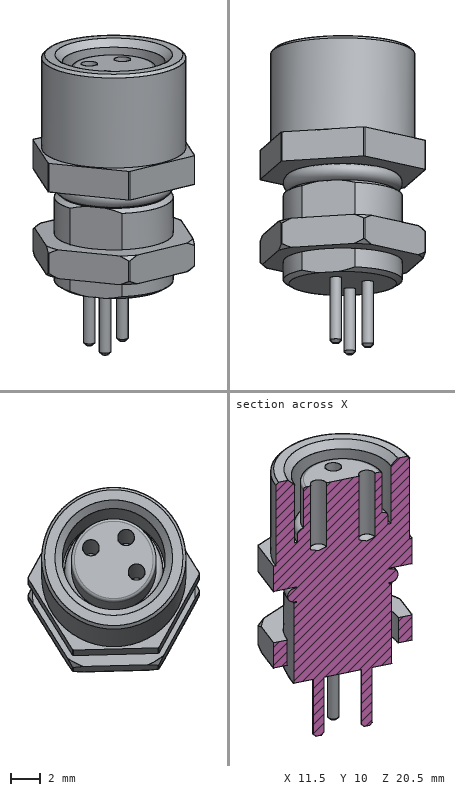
import cadquery as cq
import math

total_height = 20.5
body_bottom = 4.49
nut_bottom = 6.0
hex_thickness = 2.0
body_top = 10.8
flange_bottom = 12.0
nut_top = nut_bottom + hex_thickness
flange_top = flange_bottom + hex_thickness

hex_across_flats = 10.0
hex_corner_diameter = 11.5
nut_chamfer = 0.29

barrel_diameter = 9.7
barrel_chamfer = 0.2
bore_diameter = 6.9
bore_depth = 5.0
bore_countersink = 0.5

carrier_diameter = 5.7
carrier_recess = 0.8
carrier_edge_radius = 0.2
shoulder_diameter = 6.6
shoulder_radius = (shoulder_diameter - carrier_diameter) / 2
shoulder_height = 1.0

body_diameter = 8.0
body_across_flats = 7.1
body_chamfer_height = 0.25
body_chamfer_width = 0.39
neck_diameter = 6.7
ring_section_diameter = 1.1

contact_offset = 1.75
contact_points = [(-contact_offset, 0), (0, contact_offset), (0, -contact_offset)]
contact_hole_diameter = 1.1
contact_hole_depth = 5.0
drill_tip_angle = 144.0
pin_diameter = 0.8
pin_chamfer = 0.2


def cylinder(diameter, bottom, top):
    return cq.Workplane("XY").workplane(offset=bottom).circle(diameter / 2).extrude(top - bottom)


def hexagon(bottom, corner_chamfer=0):
    """Hexagonal prism whose corners are turned down to a round, optionally chamfered."""
    across_corners = hex_across_flats / math.cos(math.radians(30))
    prism = cq.Workplane("XY").workplane(offset=bottom).polygon(6, across_corners).extrude(hex_thickness)
    envelope = cylinder(hex_corner_diameter, bottom, bottom + hex_thickness)
    if corner_chamfer:
        envelope = envelope.edges("%CIRCLE").chamfer(corner_chamfer)
    return prism.intersect(envelope)


def socket_barrel():
    """Round barrel with a countersunk blind bore."""
    barrel = cylinder(barrel_diameter, flange_top, total_height).faces(">Z").edges().chamfer(barrel_chamfer)
    bore = cylinder(bore_diameter, total_height - bore_depth, total_height)
    countersink = (
        cq.Workplane("XY")
        .workplane(offset=total_height - bore_countersink)
        .circle(bore_diameter / 2)
        .workplane(offset=bore_countersink)
        .circle(bore_diameter / 2 + bore_countersink)
        .loft(ruled=True)
    )
    return barrel.cut(bore).cut(countersink)


def contact_carrier():
    """Carrier with a rounded top edge, standing on a rounded shoulder at the bore floor."""
    floor = total_height - bore_depth
    carrier = cylinder(carrier_diameter, floor, total_height - carrier_recess)
    carrier = carrier.faces(">Z").edges().fillet(carrier_edge_radius)
    shoulder = cylinder(shoulder_diameter, floor, floor + shoulder_height)
    shoulder = shoulder.faces(">Z").edges().fillet(shoulder_radius)
    return carrier.union(shoulder)


def lower_body():
    """Chamfered round body with two flats facing -Y and +Y."""
    body = cylinder(body_diameter, body_bottom, body_top)
    body = body.edges("%CIRCLE").chamfer(body_chamfer_height, body_chamfer_width)
    body_height = body_top - body_bottom
    flats = cq.Workplane("XY").box(body_diameter, body_across_flats, body_height)
    return body.intersect(flats.translate((0, 0, body_bottom + body_height / 2)))


def sealing_ring():
    """O-ring flush with the body diameter, centred in the neck gap."""
    section_radius = ring_section_diameter / 2
    ring_radius = body_diameter / 2 - section_radius
    return (
        cq.Workplane("XZ")
        .center(-ring_radius, (body_top + flange_bottom) / 2)
        .circle(section_radius)
        .revolve(360, (ring_radius, 0), (ring_radius, 1))
    )


def lock_nut():
    """Chamfered hexagon nut; its round hole stays open beside the flats of the body."""
    return hexagon(nut_bottom, nut_chamfer).cut(cylinder(body_diameter, nut_bottom, nut_top))


def contact_hole(x, y):
    """Blind hole with a conical drill tip, entering the carrier from above."""
    radius = contact_hole_diameter / 2
    carrier_top = total_height - carrier_recess
    tip_height = radius / math.tan(math.radians(drill_tip_angle / 2))
    profile = [
        (0, carrier_top),
        (radius, carrier_top),
        (radius, carrier_top - contact_hole_depth),
        (0, carrier_top - contact_hole_depth - tip_height),
    ]
    hole = cq.Workplane("XZ").polyline(profile).close().revolve(360, (0, 0), (0, 1))
    return hole.translate((x, y, 0))


def contact_pin(x, y):
    pin = cylinder(pin_diameter, 0, body_bottom).faces("<Z").edges().chamfer(pin_chamfer)
    return pin.translate((x, y, 0))


result = (
    hexagon(flange_bottom)
    .union(socket_barrel())
    .union(contact_carrier())
    .union(cylinder(neck_diameter, body_top, flange_bottom))
    .union(sealing_ring())
    .union(lower_body())
    .union(lock_nut())
)
for x, y in contact_points:
    result = result.cut(contact_hole(x, y)).union(contact_pin(x, y))